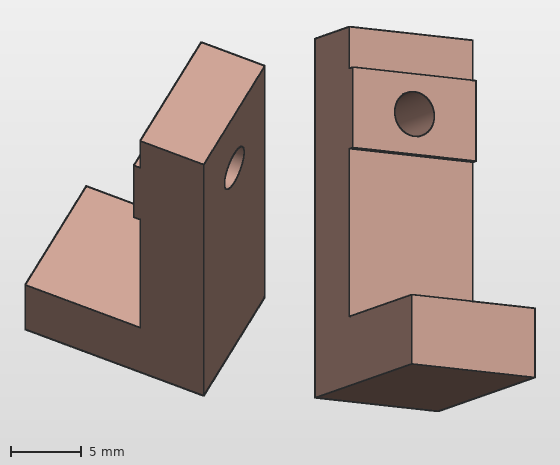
import cadquery as cq

length = 14.0
width = 10.0
height = 25.9

thickness = 5.0

pad_height = 5.8
pad_projection = 0.5
pad_top_gap = 3.0

hole_diameter = 3.2

upright_face_x = length - thickness
pad_center_z = height - pad_top_gap - pad_height / 2


def block(x_start, x_end, z_start, z_end):
    """Full-width block, centered on Y."""
    return (
        cq.Workplane("XY")
        .box(x_end - x_start, width, z_end - z_start, centered=(False, True, False))
        .translate((x_start, 0, z_start))
    )


foot = block(0, length, 0, thickness)
upright = block(upright_face_x, length, 0, height)
pad = block(
    upright_face_x - pad_projection,
    length,
    pad_center_z - pad_height / 2,
    pad_center_z + pad_height / 2,
)

hole = (
    cq.Workplane("YZ")
    .center(0, pad_center_z)
    .circle(hole_diameter / 2)
    .extrude(length)
)

result = foot.union(upright).union(pad).cut(hole)